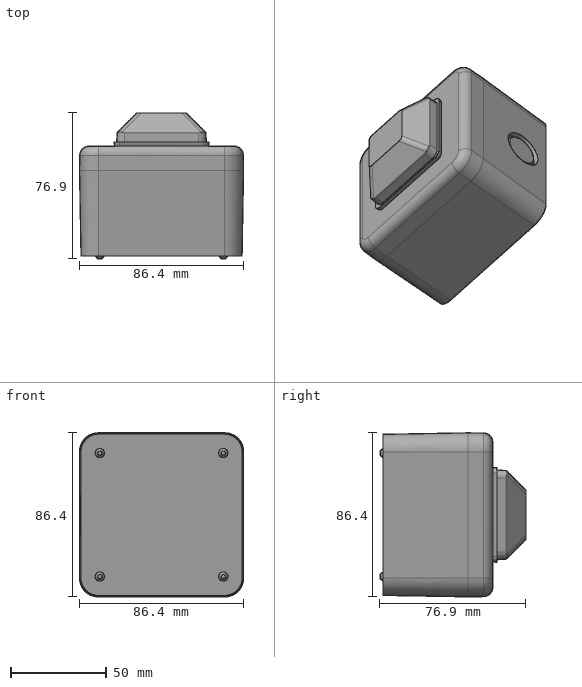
import cadquery as cq
import math

HOUSING_SIDE = 86.4
HOUSING_CORNER_RADIUS = 10.0
PARTING_Y = 44.9
FRONT_Y = 57.9
DRAFT_ANGLE = 1.0
FRONT_EDGE_RADIUS = 5.0

FOOT_PITCH = 65.0
FOOT_BASE_RADIUS = 2.4
FOOT_TIP_RADIUS = 1.1
FOOT_HEIGHT = 1.5

KNOCKOUT_Y = 16.5
RECESS_RIM_RADIUS = 10.5
RECESS_FLOOR_RADIUS = 10.2
RECESS_DEPTH = 2.5
DISC_BASE_RADIUS = 9.25
DISC_TOP_RADIUS = 8.55
DISC_HEIGHT = 1.5

FLANGE_SIDE = 50.0
FLANGE_THICKNESS = 2.2
FLANGE_CORNER_RADIUS = 3.0
FLANGE_EDGE_ARC_RADIUS = 5.2
NECK_CORNER_RADIUS = 3.9
NECK_DRAFT_ANGLE = 4.0
NECK_HEIGHT = 4.9
TOP_SIDE = 25.9
TOP_HEIGHT = 10.4
TOP_SLOPE_ANGLE = 45.0
TOP_RIDGE_RADIUS = 3.3
SHOULDER_BLEND_RADIUS = 0.5

FLANGE_TOP_Y = FRONT_Y + FLANGE_THICKNESS
SHOULDER_Y = FLANGE_TOP_Y + NECK_HEIGHT
SHOULDER_SIDE = TOP_SIDE + 2 * TOP_HEIGHT / math.tan(math.radians(TOP_SLOPE_ANGLE))


def plane_at(y):
    """Plane facing +Y at the given Y, with local x along +X."""
    return cq.Workplane(cq.Plane(origin=(0, y, 0), xDir=(1, 0, 0), normal=(0, 1, 0)))


def rounded_square(side, radius):
    return cq.Sketch().rect(side, side).vertices().fillet(radius)


def make_foot(x, z):
    base_center = cq.Vector(x, 0, z)
    backward = cq.Vector(0, -1, 0)
    return cq.Solid.makeCone(FOOT_BASE_RADIUS, FOOT_TIP_RADIUS, FOOT_HEIGHT, base_center, backward)


def side_cone(inner_radius, outer_radius, inner_depth, outer_depth):
    """Cone on the knockout axis, square to the drafted -X side, between two depths below that side."""
    draft = math.radians(DRAFT_ANGLE)
    side_center = cq.Vector(-HOUSING_SIDE / 2 + (PARTING_Y - KNOCKOUT_Y) * math.tan(draft), KNOCKOUT_Y, 0)
    outward = cq.Vector(-math.cos(draft), -math.sin(draft), 0)
    start = side_center - outward * inner_depth
    return cq.Solid.makeCone(inner_radius, outer_radius, inner_depth - outer_depth, start, outward)


def make_knockout_cutter():
    recess = side_cone(RECESS_FLOOR_RADIUS, RECESS_RIM_RADIUS, RECESS_DEPTH, 0)
    disc = side_cone(DISC_BASE_RADIUS, DISC_TOP_RADIUS, RECESS_DEPTH, RECESS_DEPTH - DISC_HEIGHT)
    return recess.cut(disc)


def make_housing():
    outline = rounded_square(HOUSING_SIDE, HOUSING_CORNER_RADIUS)
    back = plane_at(PARTING_Y).placeSketch(outline).extrude(-PARTING_Y, taper=DRAFT_ANGLE)
    front = plane_at(PARTING_Y).placeSketch(outline).extrude(FRONT_Y - PARTING_Y, taper=DRAFT_ANGLE)
    front = front.faces(">Y").edges().fillet(FRONT_EDGE_RADIUS)
    housing = back.union(front).cut(make_knockout_cutter())
    for x in (-FOOT_PITCH / 2, FOOT_PITCH / 2):
        for z in (-FOOT_PITCH / 2, FOOT_PITCH / 2):
            housing = housing.union(make_foot(x, z))
    return housing


def make_flange():
    """Flat flange whose side curves inward toward the housing."""
    outline = rounded_square(FLANGE_SIDE, FLANGE_CORNER_RADIUS)
    plate = plane_at(FRONT_Y).placeSketch(outline).extrude(FLANGE_THICKNESS)
    half_side = FLANGE_SIDE / 2
    arc_angle = math.asin(FLANGE_THICKNESS / FLANGE_EDGE_ARC_RADIUS)
    arc_mid_x = half_side - FLANGE_EDGE_ARC_RADIUS * (1 - math.cos(arc_angle / 2))
    arc_mid_y = FLANGE_TOP_Y - FLANGE_EDGE_ARC_RADIUS * math.sin(arc_angle / 2)
    foot_x = half_side - FLANGE_EDGE_ARC_RADIUS * (1 - math.cos(arc_angle))
    trim_section = (
        cq.Workplane("XY")
        .moveTo(half_side, FLANGE_TOP_Y)
        .threePointArc((arc_mid_x, arc_mid_y), (foot_x, FRONT_Y))
        .lineTo(half_side, FRONT_Y)
        .close()
    )
    top_outline = plate.faces(">Y").wires()
    return plate.cut(trim_section.sweep(top_outline))


def make_neck_and_top():
    """Square neck carrying a 45 degree pyramid with rounded ridges, trimmed to the neck's corners."""
    outline = rounded_square(SHOULDER_SIDE, NECK_CORNER_RADIUS)
    shoulder = plane_at(SHOULDER_Y)
    neck = shoulder.placeSketch(outline).extrude(-NECK_HEIGHT, taper=-NECK_DRAFT_ANGLE)
    pyramid = shoulder.rect(SHOULDER_SIDE, SHOULDER_SIDE).extrude(TOP_HEIGHT, taper=TOP_SLOPE_ANGLE)
    ridges = pyramid.edges("not (|X or |Z)")
    top = ridges.fillet(TOP_RIDGE_RADIUS).intersect(shoulder.placeSketch(outline).extrude(TOP_HEIGHT))
    body = neck.union(top)
    reach = SHOULDER_SIDE
    tolerance = 0.01
    at_shoulder = cq.selectors.BoxSelector(
        (-reach, SHOULDER_Y - tolerance, -reach), (reach, SHOULDER_Y + tolerance, reach), boundingbox=True
    )
    return body.edges("|X or |Z").edges(at_shoulder).fillet(SHOULDER_BLEND_RADIUS)


def make_knob():
    return make_flange().union(make_neck_and_top())


housing = make_housing()
knob = make_knob()
result = cq.Compound.makeCompound([housing.val(), knob.val()])